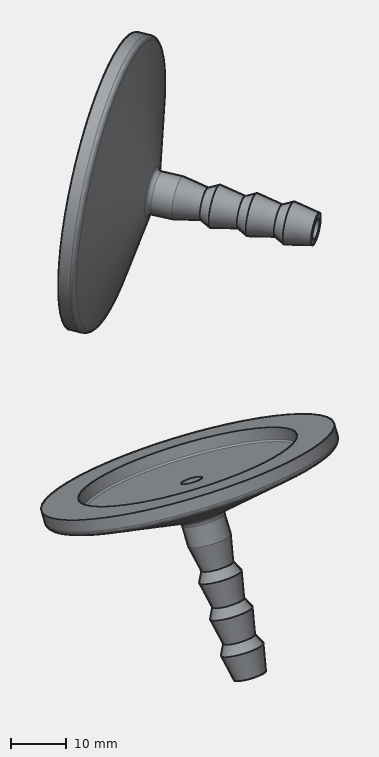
import cadquery as cq
import math

flange_radius = 27.5
rim_thickness = 3.0
clamp_angle = 15.0
rim_fillet = 1.0

total_length = 40.0
barb_radius = 4.0
root_radius = 3.0
barb_count = 3
barb_pitch = 7.0
barb_taper_length = 5.0
neck_fillet = 1.0

bore_radius = 2.0
recess_radius = 20.5
recess_depth = 2.6
recess_fillet = 0.35

edge_margin = 0.05

cone_end = rim_thickness + (flange_radius - barb_radius) * math.tan(math.radians(clamp_angle))
neck_end = total_length - barb_count * barb_pitch - barb_taper_length


def revolve_about_x(profile):
    return profile.close().revolve(360, (0, 0, 0), (1, 0, 0))


def make_flange():
    profile = (
        cq.Workplane("XY")
        .lineTo(0, flange_radius)
        .lineTo(rim_thickness, flange_radius)
        .lineTo(cone_end, barb_radius)
        .lineTo(neck_end, barb_radius)
    )
    for barb in range(barb_count, 0, -1):
        root_x = total_length - barb * barb_pitch
        crest_x = root_x + barb_pitch - barb_taper_length
        profile = profile.lineTo(root_x, root_radius).lineTo(crest_x, barb_radius)
    profile = profile.lineTo(total_length, root_radius).lineTo(total_length, 0)
    return revolve_about_x(profile)


def fillet_circle(body, x, radius, fillet_radius):
    """Round the circular edge of the given radius at axial place x."""
    reach = radius + edge_margin
    edges = cq.selectors.BoxSelector(
        (x - edge_margin, -reach, -reach), (x + edge_margin, reach, reach), boundingbox=True
    )
    return body.edges(edges).fillet(fillet_radius)


def make_recess():
    recess = cq.Workplane("YZ").circle(recess_radius).extrude(recess_depth)
    return recess.faces(">X").edges().fillet(recess_fillet)


def make_bore():
    return cq.Workplane("YZ").circle(bore_radius).extrude(total_length)


body = make_flange()
body = fillet_circle(body, rim_thickness, flange_radius, rim_fillet)
body = fillet_circle(body, cone_end, barb_radius, neck_fillet)
result = body.cut(make_recess()).cut(make_bore())